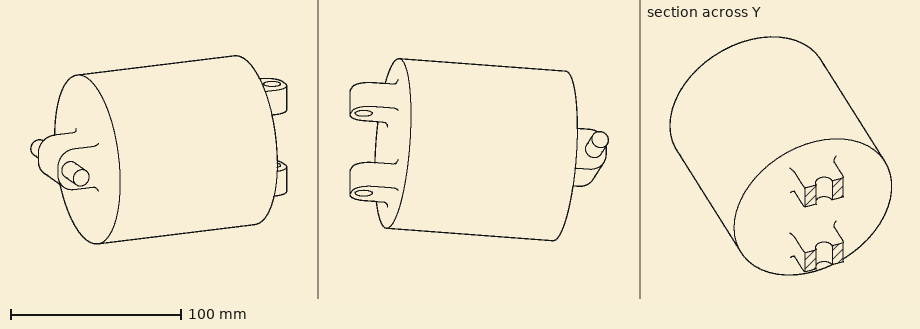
import cadquery as cq

overall_length = 150.0
body_diameter = 100.0
body_length = body_diameter
lug_length = (overall_length - body_length) / 2
lug_width = 25.0
lug_corner_radius = 10.0
root_fillet = 2.5
cross_diameter = 10.0
cross_inset = 7.5
front_lug_thickness = 30.0
crossbar_length = 65.0
rear_lug_thickness = 15.0
rear_lug_spacing = 50.0

front_face_y = -body_length / 2
rear_face_y = body_length / 2
front_cross_y = front_face_y - lug_length + cross_inset
rear_cross_y = rear_face_y + lug_length - cross_inset


def make_body():
    return cq.Workplane("XZ").circle(body_diameter / 2).extrude(body_length / 2, both=True)


def make_front_lug():
    """Lug on the -Y face, its tip rounded about X."""
    return (
        cq.Workplane("XY")
        .box(front_lug_thickness, lug_length, lug_width)
        .edges("<Y and |X")
        .fillet(lug_corner_radius)
        .translate((0, front_face_y - lug_length / 2, 0))
    )


def make_rear_lug(z_center):
    """Lug on the +Y face, its tip rounded about Z."""
    return (
        cq.Workplane("XY")
        .box(lug_width, lug_length, rear_lug_thickness)
        .edges(">Y and |Z")
        .fillet(lug_corner_radius)
        .translate((0, rear_face_y + lug_length / 2, z_center))
    )


def root_edges(y_face, z_center, size_x, size_z):
    """Selector for the straight edges where a lug meets an end face of the body."""
    margin = root_fillet / 2
    half_x = size_x / 2 + margin
    half_z = size_z / 2 + margin
    near_root = cq.selectors.BoxSelector(
        (-half_x, y_face - margin, z_center - half_z),
        (half_x, y_face + margin, z_center + half_z),
    )
    return near_root & cq.selectors.TypeSelector("LINE")


result = make_body()

result = result.union(make_front_lug())
front_root = root_edges(front_face_y, 0, front_lug_thickness, lug_width)
result = result.edges(front_root).fillet(root_fillet)

for z_center in (-rear_lug_spacing / 2, rear_lug_spacing / 2):
    result = result.union(make_rear_lug(z_center))
    rear_root = root_edges(rear_face_y, z_center, lug_width, rear_lug_thickness)
    result = result.edges(rear_root).fillet(root_fillet)

eye_hole = (
    cq.Workplane("XY")
    .center(0, rear_cross_y)
    .circle(cross_diameter / 2)
    .extrude(body_diameter / 2, both=True)
)
result = result.cut(eye_hole)

crossbar = (
    cq.Workplane("YZ")
    .center(front_cross_y, 0)
    .circle(cross_diameter / 2)
    .extrude(crossbar_length / 2, both=True)
)
result = result.union(crossbar)